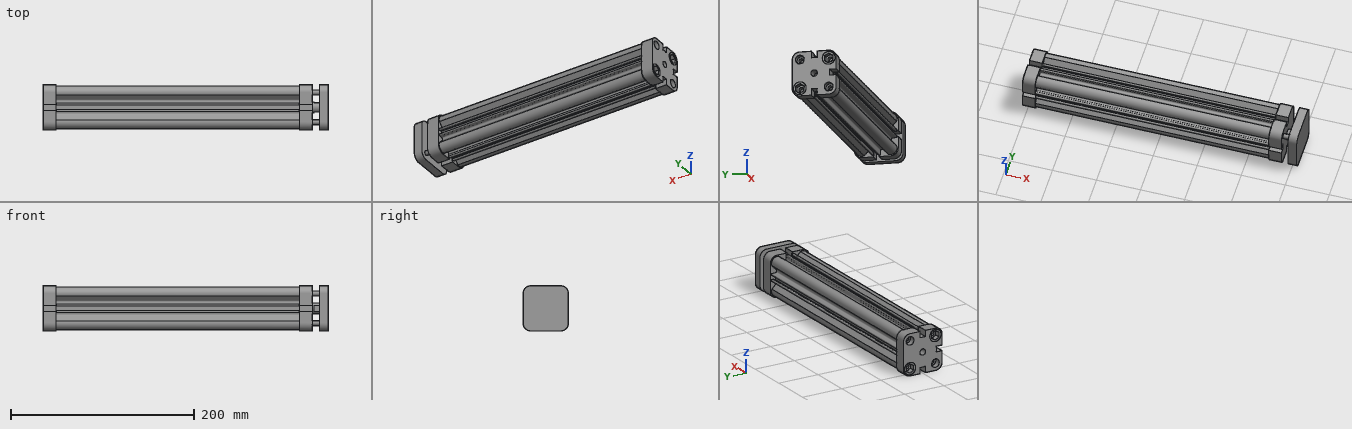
import cadquery as cq
import math


TOTAL_LENGTH = 311.5
CAP_LENGTH = 14.3
YOKE_THICKNESS = 10.0
YOKE_GAP = 7.5
YOKE_X = TOTAL_LENGTH - YOKE_THICKNESS
FRONT_CAP_END = YOKE_X - YOKE_GAP
FRONT_CAP_X = FRONT_CAP_END - CAP_LENGTH
BARREL_LENGTH = FRONT_CAP_X - CAP_LENGTH

CAP_WIDTH = 49.5
CAP_CORNER_RADIUS = 8.5
CAP_SLOT_WIDTH = 6.5
CAP_SLOT_FLOOR = 17.5
SLOTTED_SIDES = (0, 90, 180)

CORNER_OFFSET = 16.2
GUIDE_CORNERS = ((-CORNER_OFFSET, CORNER_OFFSET), (CORNER_OFFSET, -CORNER_OFFSET))
SCREW_CORNERS = ((CORNER_OFFSET, CORNER_OFFSET), (-CORNER_OFFSET, -CORNER_OFFSET))

CORNER_HOLE_DIAMETER = 5.3
SCREW_HEAD_DIAMETER = 9.7
HEX_ACROSS_FLATS = 9.5
HEAD_RECESS_DEPTH = 7.2
GUIDE_RING_RECESS = 0.3
CENTRE_HOLE_DIAMETER = 7.2

BARREL_CORNER_RADIUS = 7.2
BARREL_HALF_WIDTH = CORNER_OFFSET + BARREL_CORNER_RADIUS
FLANK_TOP = 13.7
FLANK_FOOT = 7.8
FLANK_TOP_HEIGHT = CORNER_OFFSET + math.sqrt(
    BARREL_CORNER_RADIUS**2 - (CORNER_OFFSET - FLANK_TOP) ** 2
)
VALLEY_FLOOR = FLANK_TOP_HEIGHT - (FLANK_TOP - FLANK_FOOT)
VALLEY_FILLET = 1.5

RAIL_WIDTH = 9.5
RAIL_EDGE_RADIUS = 0.78
RAIL_NECK_WIDTH = 4.7
RAIL_LIP_HEIGHT = 2.8
T_SLOT_WIDTH = 7.0
T_SLOT_FLOOR = 18.5

PISTON_ROD_DIAMETER = 12.0
ROD_ACROSS_FLATS = 10.3
ROD_COLLAR_LENGTH = 2.0
GUIDE_ROD_DIAMETER = 5.5

TOLERANCE = 0.03


def block(x, length, width_y, z_bottom, z_top):
    """Box centred on Y, from z_bottom to z_top."""
    box = cq.Workplane("XY").box(length, width_y, z_top - z_bottom, centered=(False, True, False))
    return box.translate((x, 0, z_bottom))


def bars(x, length, diameter, centres):
    """Round bars along X at the given (Y, Z) centres."""
    return cq.Workplane("YZ", origin=(x, 0, 0)).pushPoints(centres).circle(diameter / 2).extrude(length)


def around_axis(shape, angle):
    return shape.rotate((0, 0, 0), (1, 0, 0), angle)


def rounded_plate(x, thickness):
    plate = cq.Workplane("YZ", origin=(x, 0, 0)).rect(CAP_WIDTH, CAP_WIDTH).extrude(thickness)
    return plate.edges("|X").fillet(CAP_CORNER_RADIUS)


def slotted_cap(x):
    cap = rounded_plate(x, CAP_LENGTH)
    slot = block(x, CAP_LENGTH, CAP_SLOT_WIDTH, CAP_SLOT_FLOOR, CAP_WIDTH / 2)
    for angle in SLOTTED_SIDES:
        cap = cap.cut(around_axis(slot, angle))
    return cap


def hex_recesses():
    """Hexagonal pockets with one pair of flats facing +Y and -Y."""
    corner_diameter = HEX_ACROSS_FLATS / math.cos(math.pi / 6)
    recesses = cq.Workplane("YZ")
    for y, z in GUIDE_CORNERS:
        hexagon = cq.Workplane("YZ").polygon(6, corner_diameter).extrude(HEAD_RECESS_DEPTH)
        recesses = recesses.add(around_axis(hexagon, 90).translate((0, y, z)))
    return recesses.combine()


def make_rear_cap():
    cap = slotted_cap(0)
    cap = cap.cut(bars(0, CAP_LENGTH, CORNER_HOLE_DIAMETER, GUIDE_CORNERS + SCREW_CORNERS))
    cap = cap.cut(bars(0, HEAD_RECESS_DEPTH, SCREW_HEAD_DIAMETER, SCREW_CORNERS))
    cap = cap.cut(bars(0, GUIDE_RING_RECESS, 2 * BARREL_CORNER_RADIUS, GUIDE_CORNERS))
    cap = cap.cut(hex_recesses())
    return cap.cut(bars(0, CAP_LENGTH, CENTRE_HOLE_DIAMETER, [(0, 0)]))


def make_front_cap():
    cap = slotted_cap(FRONT_CAP_X)
    cap = cap.cut(bars(FRONT_CAP_X, CAP_LENGTH, GUIDE_ROD_DIAMETER, GUIDE_CORNERS))
    return cap.cut(bars(FRONT_CAP_X, CAP_LENGTH, PISTON_ROD_DIAMETER, [(0, 0)]))


def turned(point, quarter_turns):
    """Turn a (Y, Z) point clockwise by quarter turns about the axis."""
    y, z = point
    for _ in range(quarter_turns):
        y, z = z, -y
    return y, z


def barrel_core():
    """Four corner rounds joined by flat-bottomed valleys with 45 degree flanks."""
    corner_tip = CORNER_OFFSET + BARREL_CORNER_RADIUS * math.sqrt(0.5)
    outline = cq.Workplane("YZ", origin=(CAP_LENGTH, 0, 0)).moveTo(-FLANK_TOP, FLANK_TOP_HEIGHT)
    for side in range(4):
        outline = outline.lineTo(*turned((-FLANK_FOOT, VALLEY_FLOOR), side))
        outline = outline.lineTo(*turned((FLANK_FOOT, VALLEY_FLOOR), side))
        outline = outline.lineTo(*turned((FLANK_TOP, FLANK_TOP_HEIGHT), side))
        outline = outline.threePointArc(
            turned((corner_tip, corner_tip), side), turned((FLANK_TOP_HEIGHT, FLANK_TOP), side)
        )
    return outline.close().extrude(BARREL_LENGTH)


def lengthwise_edges(shape, offset, height):
    """Edges along X at the given sideways offset and height on any of the four sides."""

    def matches(edge):
        y, z = abs(edge.Center().y), abs(edge.Center().z)
        return math.isclose(min(y, z), offset, abs_tol=TOLERANCE) and math.isclose(
            max(y, z), height, abs_tol=TOLERANCE
        )

    return shape.edges("|X").filter(matches)


def make_barrel():
    rail = block(CAP_LENGTH, BARREL_LENGTH, RAIL_WIDTH, 0, BARREL_HALF_WIDTH)
    neck = block(CAP_LENGTH, BARREL_LENGTH, RAIL_NECK_WIDTH, T_SLOT_FLOOR, BARREL_HALF_WIDTH)
    undercut_top = BARREL_HALF_WIDTH - RAIL_LIP_HEIGHT
    undercut = block(CAP_LENGTH, BARREL_LENGTH, T_SLOT_WIDTH, T_SLOT_FLOOR, undercut_top)
    t_slot = neck.union(undercut)

    barrel = barrel_core()
    for angle in range(0, 360, 90):
        barrel = barrel.union(around_axis(rail, angle))
        barrel = barrel.cut(around_axis(t_slot, angle))

    rounds = (
        (RAIL_WIDTH / 2, VALLEY_FLOOR, VALLEY_FILLET),
        (FLANK_FOOT, VALLEY_FLOOR, VALLEY_FILLET),
        (RAIL_WIDTH / 2, BARREL_HALF_WIDTH, RAIL_EDGE_RADIUS),
        (RAIL_NECK_WIDTH / 2, BARREL_HALF_WIDTH, RAIL_EDGE_RADIUS),
    )
    for offset, height, radius in rounds:
        barrel = lengthwise_edges(barrel, offset, height).fillet(radius)
    return barrel


def make_piston_rod():
    """Round rod with two flats, facing +Y and -Y, next to the yoke."""
    rod = bars(FRONT_CAP_X, YOKE_X - FRONT_CAP_X, PISTON_ROD_DIAMETER, [(0, 0)])
    radius = PISTON_ROD_DIAMETER / 2
    flats_x = FRONT_CAP_END + ROD_COLLAR_LENGTH
    flats_length = YOKE_X - flats_x
    around_flats = block(flats_x, flats_length, PISTON_ROD_DIAMETER, -radius, radius)
    between_flats = block(flats_x, flats_length, ROD_ACROSS_FLATS, -radius, radius)
    return rod.cut(around_flats.cut(between_flats))


def make_yoke():
    """Yoke plate carrying the two guide rods that slide in the front cap."""
    return rounded_plate(YOKE_X, YOKE_THICKNESS).union(
        bars(FRONT_CAP_X, YOKE_X - FRONT_CAP_X, GUIDE_ROD_DIAMETER, GUIDE_CORNERS)
    )


rear_cap = make_rear_cap()
barrel = make_barrel()
front_cap = make_front_cap()
piston_rod = make_piston_rod()
yoke = make_yoke()

result = cq.Compound.makeCompound(
    [rear_cap.val(), barrel.val(), front_cap.val(), piston_rod.val(), yoke.val()]
)